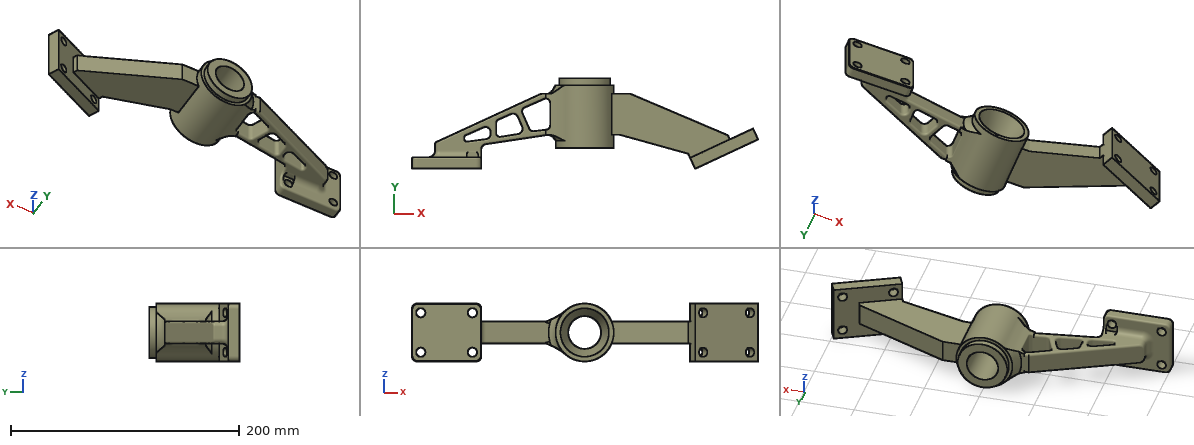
import cadquery as cq
import math


overall_length = 303.8

hub_radius = 25.5
hub_length = 55.3
collar_radius = 22.5
collar_length = 6.0
bore_mouth_radius = 21.3
bore_throat_radius = 14.3
bore_taper_length = 19.7

plate_length = 61.0
plate_height = 2 * hub_radius
hole_spacing_long = 45.3
hole_spacing_high = 34.5
hole_diameter = 8.0
hole_cut_length = 21.3
plate_front_y = -18.2

left_plate_thickness = 10.3
left_plate_front_chamfer = 0.5
left_plate_start_x = -151.5
left_plate_end_x = left_plate_start_x + plate_length
left_plate_corner_radius = 5.0
left_plate_back_fillet = 1.8
left_plate_back_y = plate_front_y + left_plate_thickness
arm_thickness = 19.5
arm_top_y = 47.7
arm_bottom_y = 11.5
truss_heel_x = -131.2
truss_heel_y = 5.0
truss_top_bend_x = -38.3
truss_toe_y = 2.7
truss_toe_radius = 4.5
truss_heel_corner_radius = 4.5
truss_foot_fillet = 5.8
foot_slab_thickness = 3.0
foot_slab_front_y = left_plate_back_y - foot_slab_thickness
truss_edge_fillet = 1.97

truss_windows = [
    ([(-105.5, 5.5), (-82.5, 8.5), (-82.5, 20.7), (-105.5, 10.5)], 2.0, 4.3),
    ([(-77.5, 9.5), (-52.5, 13.5), (-60.5, 31.5), (-77.5, 24.0)], 3.0, 4.5),
    ([(-47.5, 14.5), (-30.5, 16.7), (-30.5, 45.3), (-56.0, 34.0)], 3.5, 3.5),
]

notch_width = 10.0
notch_wall_gap = 0.15
notch_corner_radius = 1.2

flare_start_x = -31.5
flare_side_start_x = -34.0
flare_outer_x = -36.5
flare_inner_x = -17.3
flare_bottom_y = 6.5
flare_half_height = math.sqrt(hub_radius**2 - flare_inner_x**2)
flare_end_dip = 1.2
flare_side_dip = 1.0
flare_rim_fillet = 1.2

right_plate_thickness = 10.5
right_plate_angle = 25
right_plate_tip_x = left_plate_start_x + overall_length
right_pad_length = 38.5
right_pad_height = 4.0
right_arm_root_x = 22.8
right_arm_top_bend_x = 40.0
right_arm_bottom_bend_x = 31.0

margin = 0.3


def plate_hole_cutters(plane):
    """Four hole cylinders running to +Z of a plane centred on a plate face."""
    return (
        cq.Workplane(plane)
        .rect(hole_spacing_long, hole_spacing_high, forConstruction=True)
        .vertices()
        .circle(hole_diameter / 2)
        .extrude(hole_cut_length)
    )


def plate_plane(start_x, angle):
    """Plane centred on a plate's front face, facing into the plate."""
    slope = math.radians(angle)
    along_x = math.cos(slope)
    along_y = math.sin(slope)
    center_x = start_x + plate_length / 2 * along_x
    center_y = plate_front_y + plate_length / 2 * along_y
    return cq.Plane(
        origin=(center_x, center_y, 0),
        xDir=(along_x, along_y, 0),
        normal=(-along_y, along_x, 0),
    )


left_plane = plate_plane(left_plate_start_x, 0)
right_plate_start_x = right_plate_tip_x - plate_length * math.cos(math.radians(right_plate_angle))
right_plane = plate_plane(right_plate_start_x, right_plate_angle)


def make_hub():
    outer = cq.Workplane("XZ").circle(hub_radius).extrude(-hub_length)
    collar = cq.Workplane("XZ", origin=(0, hub_length, 0)).circle(collar_radius).extrude(-collar_length)
    return outer.union(collar)


def make_bore():
    """Bore tapering from the front mouth to a straight throat."""
    return (
        cq.Workplane("XY")
        .moveTo(0, 0)
        .lineTo(bore_mouth_radius, 0)
        .lineTo(bore_throat_radius, bore_taper_length)
        .lineTo(bore_throat_radius, hub_length + collar_length)
        .lineTo(0, hub_length + collar_length)
        .close()
        .revolve(360, (0, 0), (0, 1))
    )


def make_left_plate():
    """Plate with rounded corners, a rounded back rim and a chamfered front rim."""
    return (
        cq.Workplane(left_plane)
        .rect(plate_length, plate_height)
        .extrude(left_plate_thickness)
        .edges("|Y")
        .fillet(left_plate_corner_radius)
        .faces(">Y")
        .edges()
        .fillet(left_plate_back_fillet)
        .faces("<Y")
        .edges()
        .chamfer(left_plate_front_chamfer)
    )


def make_window(corners, left_radius, right_radius):
    window = (
        cq.Workplane("XY", origin=(0, 0, -arm_thickness))
        .polyline(corners)
        .close()
        .extrude(2 * arm_thickness)
    )
    lower_left, lower_right, upper_right, upper_left = [
        cq.selectors.NearestToPointSelector((x, y, 0)) for x, y in corners
    ]
    window = window.edges(lower_left + upper_left).fillet(left_radius)
    return window.edges(lower_right + upper_right).fillet(right_radius)


def make_foot_slab():
    """Slab buried in the left plate, on which the truss foot fillet runs out."""
    reach = truss_foot_fillet + margin
    start_x = truss_heel_x - reach
    height = arm_thickness + 2 * reach
    return (
        cq.Workplane("XY")
        .box(left_plate_end_x - start_x, foot_slab_thickness, height, centered=False)
        .translate((start_x, foot_slab_front_y, -height / 2))
    )


def truss_rim(face_z):
    """Selector for the outline and window edges of one side face of the truss."""
    start_x = truss_heel_x + truss_heel_corner_radius + margin
    start_y = left_plate_back_y + truss_foot_fillet
    return cq.selectors.BoxSelector(
        (start_x, start_y, face_z - margin),
        (flare_inner_x - margin, hub_length, face_z + margin),
    )


def make_truss():
    """Windowed arm with a filleted foot and rounded rims."""
    half_thickness = arm_thickness / 2
    body = (
        cq.Workplane("XY", origin=(0, 0, -half_thickness))
        .moveTo(truss_heel_x, foot_slab_front_y)
        .lineTo(left_plate_end_x, foot_slab_front_y)
        .lineTo(left_plate_end_x, truss_toe_y)
        .lineTo(flare_start_x, arm_bottom_y)
        .lineTo(flare_inner_x, arm_bottom_y)
        .lineTo(flare_inner_x, arm_top_y)
        .lineTo(truss_top_bend_x, arm_top_y)
        .lineTo(truss_heel_x, truss_heel_y)
        .close()
        .extrude(arm_thickness)
    )
    toe = cq.selectors.NearestToPointSelector((left_plate_end_x, truss_toe_y, 0))
    body = body.edges(toe).fillet(truss_toe_radius)
    body = body.faces("<X").edges("|Y").fillet(truss_heel_corner_radius)
    for window in truss_windows:
        body = body.cut(make_window(*window))
    body = body.union(make_foot_slab())
    foot = cq.selectors.BoxSelector(
        (truss_heel_x - margin, left_plate_back_y - margin, -half_thickness - margin),
        (left_plate_end_x - margin, left_plate_back_y + margin, half_thickness + margin),
    )
    body = body.edges(foot).fillet(truss_foot_fillet)
    rims = truss_rim(half_thickness) + truss_rim(-half_thickness)
    return body.edges(rims).fillet(truss_edge_fillet)


def make_notches():
    """Pair of notches, one on each side of the truss foot."""
    wall_z = arm_thickness / 2 + notch_wall_gap
    hole_x = left_plate_start_x + (plate_length + hole_spacing_long) / 2
    block = (
        cq.Workplane("XY")
        .box(notch_width, truss_foot_fillet, hub_radius, centered=(True, False, False))
        .edges("|Y and <Z")
        .fillet(notch_corner_radius)
        .translate((hole_x, left_plate_back_y, wall_z))
    )
    return block.union(block.mirror("XY"))


def make_flare():
    """Ring with concave ends around the hub, cut to the flare's cross outline."""
    middle_x = (flare_start_x - hub_radius) / 2
    ring = (
        cq.Workplane("XY")
        .moveTo(flare_outer_x, arm_bottom_y)
        .lineTo(flare_start_x, arm_bottom_y)
        .threePointArc(
            (middle_x, (arm_bottom_y + flare_bottom_y) / 2 + flare_end_dip),
            (-hub_radius, flare_bottom_y),
        )
        .lineTo(flare_inner_x, flare_bottom_y)
        .lineTo(flare_inner_x, hub_length)
        .lineTo(-hub_radius, hub_length)
        .threePointArc(
            (middle_x, (arm_top_y + hub_length) / 2 - flare_end_dip),
            (flare_start_x, arm_top_y),
        )
        .lineTo(flare_outer_x, arm_top_y)
        .close()
        .revolve(360, (0, 0), (0, 1))
    )
    half_thickness = arm_thickness / 2
    side_middle_x = (flare_side_start_x + flare_inner_x) / 2
    side_middle_z = (half_thickness + flare_half_height) / 2 - flare_side_dip
    crosswise = (
        cq.Workplane("XZ")
        .moveTo(flare_side_start_x, -half_thickness)
        .threePointArc((side_middle_x, -side_middle_z), (flare_inner_x, -flare_half_height))
        .lineTo(flare_inner_x, flare_half_height)
        .threePointArc((side_middle_x, side_middle_z), (flare_side_start_x, half_thickness))
        .close()
        .extrude(-hub_length)
    )
    flare = ring.intersect(crosswise).cut(make_window(*truss_windows[-1]))
    window_end_x = max(x for x, _ in truss_windows[-1][0])
    window_middle_y = (arm_bottom_y + arm_top_y) / 2
    for rim_z in (-half_thickness, half_thickness):
        rim = cq.selectors.NearestToPointSelector((window_end_x, window_middle_y, rim_z))
        flare = flare.edges(rim).fillet(flare_rim_fillet)
    return flare


def make_right_plate():
    return cq.Workplane(right_plane).rect(plate_length, plate_height).extrude(right_plate_thickness)


def right_plate_point(along, height):
    """XY position at a distance along the right plate and a height above its front face."""
    point = right_plane.toWorldCoords((along - plate_length / 2, 0, height))
    return (point.x, point.y)


def make_right_arm():
    pad_top = right_plate_thickness + right_pad_height
    outline = [
        (right_arm_root_x, arm_bottom_y),
        (right_arm_bottom_bend_x, arm_bottom_y),
        right_plate_point(0, pad_top),
        right_plate_point(0, right_plate_thickness / 2),
        right_plate_point(right_pad_length, right_plate_thickness / 2),
        right_plate_point(right_pad_length, pad_top),
        (right_arm_top_bend_x, arm_top_y),
        (right_arm_root_x, arm_top_y),
    ]
    return (
        cq.Workplane("XY", origin=(0, 0, -arm_thickness / 2))
        .polyline(outline)
        .close()
        .extrude(arm_thickness)
    )


left_end = make_left_plate().union(make_truss().cut(make_notches())).union(make_flare())
right_end = make_right_plate().union(make_right_arm())
result = make_hub().union(left_end).union(right_end).cut(make_bore())
for plane in (left_plane, right_plane):
    result = result.cut(plate_hole_cutters(plane))